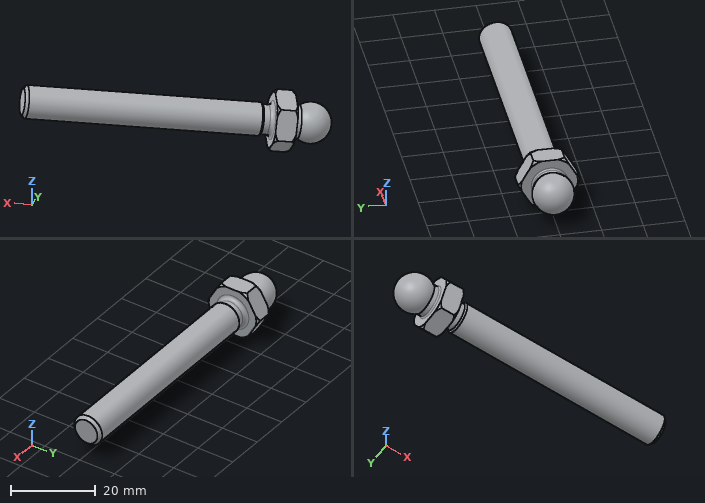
import cadquery as cq
import math

total_length = 74.5
ball_radius = 5.0
shank_radius = 4.0
shank_end_chamfer = 0.8

hex_start = 9.45
hex_width = 5.0
hex_across_flats = 13.0
hex_face_radius = 6.8
hex_end = hex_start + hex_width
hex_corner_radius = hex_across_flats / math.sqrt(3)
hex_chamfer = hex_corner_radius - hex_face_radius

neck_radius = 4.0
neck_fillet = 0.4
neck_start = ball_radius + math.sqrt(ball_radius**2 - neck_radius**2)

groove_radius = 3.6
groove_fillet = 1.05
shank_start = 17.35
groove_end = shank_start - (shank_radius - groove_radius)


def fillet_middle(center_x, center_r, radius, side):
    """Middle point of a quarter-circle fillet; side is +1 or -1 along X from its centre."""
    offset = radius * math.sqrt(0.5)
    return (center_x + side * offset, center_r - offset)


def make_turned_body():
    """Ball, neck, relief groove and shank as one revolved profile."""
    ball_middle = (ball_radius, ball_radius)
    neck_mid = fillet_middle(hex_start - neck_fillet, neck_radius + neck_fillet, neck_fillet, 1)
    groove_mid = fillet_middle(hex_end + groove_fillet, groove_radius + groove_fillet, groove_fillet, -1)
    profile = (
        cq.Workplane("XY")
        .moveTo(0, 0)
        .threePointArc(ball_middle, (neck_start, neck_radius))
        .lineTo(hex_start - neck_fillet, neck_radius)
        .threePointArc(neck_mid, (hex_start, neck_radius + neck_fillet))
        .lineTo(hex_end, neck_radius + neck_fillet)
        .lineTo(hex_end, groove_radius + groove_fillet)
        .threePointArc(groove_mid, (hex_end + groove_fillet, groove_radius))
        .lineTo(groove_end, groove_radius)
        .lineTo(shank_start, shank_radius)
        .lineTo(total_length - shank_end_chamfer, shank_radius)
        .lineTo(total_length, shank_radius - shank_end_chamfer)
        .lineTo(total_length, 0)
        .close()
    )
    return profile.revolve(360, (0, 0, 0), (1, 0, 0))


def make_hex_collar():
    """Hexagonal prism whose corners are turned off by a conical chamfer on both faces."""
    prism = (
        cq.Workplane("YZ", origin=(hex_start, 0, 0))
        .polygon(6, 2 * hex_corner_radius)
        .extrude(hex_width)
    )
    chamfered_disc = (
        cq.Workplane("YZ", origin=(hex_start, 0, 0))
        .circle(hex_corner_radius)
        .extrude(hex_width)
        .edges()
        .chamfer(hex_chamfer)
    )
    return prism.intersect(chamfered_disc)


result = make_turned_body().union(make_hex_collar())